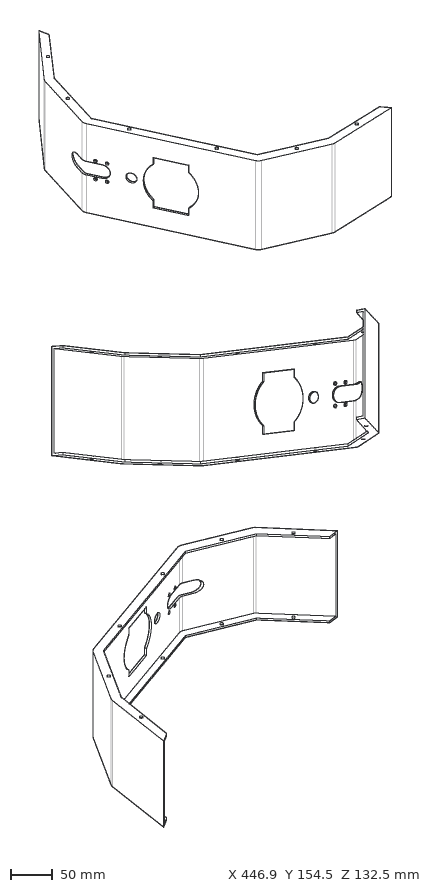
import cadquery as cq
import math

overall_width = 446.91
overall_depth = 154.5
height = 132.5

sheet = 3.0
flange_depth = 12.0
bend_radius = 10.0
end_angle = 13.0

front_corner = (110.9, 0.0)
side_corner = (183.4, 63.4)
tip = (overall_width / 2, overall_depth)

flange_front_corner = (105.2, flange_depth)
flange_side_corner = (173.6, 71.7)
flange_end_depth = 14.3

flange_hole_diameter = 4.0
flange_hole_inset = (sheet + flange_depth) / 2
front_hole_distance = front_corner[0] / 2
side_hole_distance = 52.0
end_hole_distance = 47.5

dial_diameter = 70.0
dial_notch_width = 45.0
dial_notch_height = 74.5
button_x = -50.0
button_diameter = 14.0

slot_height = 20.0
slot_left_x = -132.1
slot_right_x = -76.8

screw_diameter = 4.3
screw_centre_x = -88.2
screw_spacing_x = 14.7
screw_spacing_z = 27.2


def direction(start, end):
    """Unit vector from start to end."""
    length = math.dist(start, end)
    return ((end[0] - start[0]) / length, (end[1] - start[1]) / length)


def along(start, end, distance, inset):
    """Point at a distance along a right-half panel, moved inward by inset."""
    dx, dy = direction(start, end)
    return (start[0] + distance * dx - inset * dy, start[1] + distance * dy + inset * dx)


def inner_corner(before, corner, after, inset):
    """Corner of the outline after both adjoining panels are moved inward."""
    ax, ay = direction(before, corner)
    bx, by = direction(corner, after)
    scale = inset / (1 + ax * bx + ay * by)
    return (corner[0] - scale * (ay + by), corner[1] + scale * (ax + bx))


def end_edge_point(inset):
    """Point on the sloped end edge at a given inset from the outer face."""
    panel_angle = math.atan2(tip[1] - side_corner[1], tip[0] - side_corner[0])
    slope = math.radians(end_angle)
    length = inset / math.sin(panel_angle + slope)
    return (tip[0] - length * math.cos(slope), tip[1] - length * math.sin(slope))


def mirrored(points):
    """The same points on the left half, in reverse order."""
    return [(-x, y) for x, y in reversed(points)]


def fillet_upright_edges(body, corners, radius):
    for x, y in corners:
        nearest = cq.selectors.NearestToPointSelector((x, y, body.val().Center().z))
        body = body.edges("|Z").edges(nearest).fillet(radius)
    return body


def bent_band(inner_half, bottom, thickness):
    """Band between the outer outline and the given inner outline, bent at the outer corners."""
    outer_half = [front_corner, side_corner, tip]
    right_half = [*outer_half, *reversed(inner_half)]
    outline = right_half + mirrored(right_half)
    band = cq.Workplane("XY").workplane(offset=bottom).polyline(outline).close().extrude(thickness)
    outer_bends = [front_corner, side_corner]
    return fillet_upright_edges(band, outer_bends + mirrored(outer_bends), bend_radius)


def wall():
    left_corner = (-front_corner[0], front_corner[1])
    inner_bends = [
        inner_corner(left_corner, front_corner, side_corner, sheet),
        inner_corner(front_corner, side_corner, tip, sheet),
    ]
    body = bent_band([*inner_bends, end_edge_point(sheet)], -height / 2, height)
    return fillet_upright_edges(body, inner_bends + mirrored(inner_bends), bend_radius - sheet)


def flange(bottom):
    inner_half = [flange_front_corner, flange_side_corner, end_edge_point(flange_end_depth)]
    return bent_band(inner_half, bottom, sheet)


def flange_holes():
    centres = [
        (front_hole_distance, flange_hole_inset),
        along(front_corner, side_corner, side_hole_distance, flange_hole_inset),
        along(side_corner, tip, end_hole_distance, flange_hole_inset),
    ]
    plane = cq.Workplane("XY").workplane(offset=-height / 2)
    return plane.pushPoints(centres + mirrored(centres)).circle(flange_hole_diameter / 2).extrude(height)


def front_plane():
    """Plane of the outer front face; negative extrusion runs into the part."""
    return cq.Workplane(cq.Plane(origin=(0, 0, 0), xDir=(1, 0, 0), normal=(0, -1, 0)))


def front_cutouts():
    dial = front_plane().circle(dial_diameter / 2).extrude(-sheet)
    notch = front_plane().rect(dial_notch_width, dial_notch_height).extrude(-sheet)
    button = front_plane().center(button_x, 0).circle(button_diameter / 2).extrude(-sheet)
    screws = (
        front_plane()
        .center(screw_centre_x, 0)
        .rect(screw_spacing_x, screw_spacing_z, forConstruction=True)
        .vertices()
        .circle(screw_diameter / 2)
        .extrude(-sheet)
    )
    return dial.union(notch).union(button).union(screws)


def bend_slot():
    """Slot through the front bend, cut straight along Y."""
    centre_x = (slot_left_x + slot_right_x) / 2
    slot = front_plane().center(centre_x, 0).slot2D(slot_right_x - slot_left_x, slot_height)
    return slot.extrude(-overall_depth)


result = (
    wall()
    .union(flange(-height / 2))
    .union(flange(height / 2 - sheet))
    .cut(flange_holes())
    .cut(front_cutouts())
    .cut(bend_slot())
)